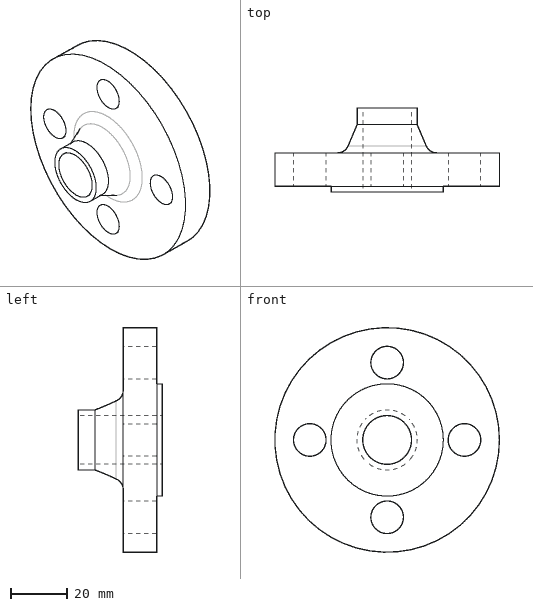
import cadquery as cq
import math

flange_diameter = 80.0
flange_thickness = 12.0
face_diameter = flange_diameter / 2
face_height = 2.0
overall_length = 30.0

neck_diameter = 21.4
neck_length = 6.0
hub_base_diameter = 30.0
hub_fillet = 4.0
bore_diameter = 17.3

bolt_count = 4
bolt_hole_diameter = 11.5
bolt_circle_diameter = 55.0

flange_front = face_height
flange_back = flange_front + flange_thickness
neck_start = overall_length - neck_length


def cylinder(diameter, start, end, x=0.0, z=0.0):
    """Solid cylinder along +Y between two axial positions."""
    return cq.Workplane(
        cq.Solid.makeCylinder(
            diameter / 2, end - start, cq.Vector(x, start, z), cq.Vector(0, 1, 0)
        )
    )


def revolved_body():
    """Raised face, flange disc, tapered hub and straight neck."""
    body = (
        cq.Workplane("XY")
        .moveTo(0, 0)
        .lineTo(face_diameter / 2, 0)
        .lineTo(face_diameter / 2, flange_front)
        .lineTo(flange_diameter / 2, flange_front)
        .lineTo(flange_diameter / 2, flange_back)
        .lineTo(hub_base_diameter / 2, flange_back)
        .lineTo(neck_diameter / 2, neck_start)
        .lineTo(neck_diameter / 2, overall_length)
        .lineTo(0, overall_length)
        .close()
        .revolve(360, (0, 0, 0), (0, 1, 0))
    )
    hub_root = cq.selectors.RadiusNthSelector(1)
    return body.edges("%CIRCLE").edges(hub_root).fillet(hub_fillet)


def bolt_holes(body):
    """Cut the bolt holes, the first one on the +X axis."""
    for index in range(bolt_count):
        angle = 2 * math.pi * index / bolt_count
        x = bolt_circle_diameter / 2 * math.cos(angle)
        z = bolt_circle_diameter / 2 * math.sin(angle)
        body = body.cut(
            cylinder(bolt_hole_diameter, flange_front, flange_back, x, z)
        )
    return body


result = bolt_holes(revolved_body()).cut(cylinder(bore_diameter, 0, overall_length))